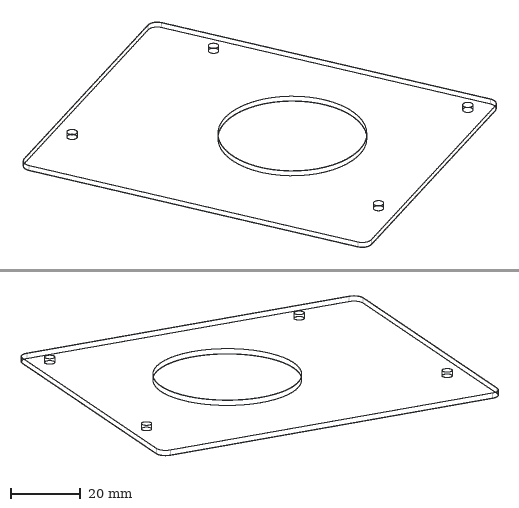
import cadquery as cq

length = 110.2
width = 90.6
thickness = 1.7
corner_radius = 3.0

window_diameter = 42.9
window_center = (8.8, 3.3)
screw_hole_diameter = 3.0
upper_row_y = 39.5
lower_row_y = -22.6
screw_hole_centers = [
    (-33.0, upper_row_y),
    (47.7, upper_row_y),
    (-49.0, lower_row_y),
    (48.2, lower_row_y),
]

plate = cq.Workplane("XY").box(length, width, thickness).edges("|Z").fillet(corner_radius)

plate = plate.faces(">Z").workplane(origin=(0, 0, 0)).pushPoints([window_center]).hole(window_diameter)
plate = plate.faces(">Z").workplane(origin=(0, 0, 0)).pushPoints(screw_hole_centers).hole(screw_hole_diameter)

result = plate